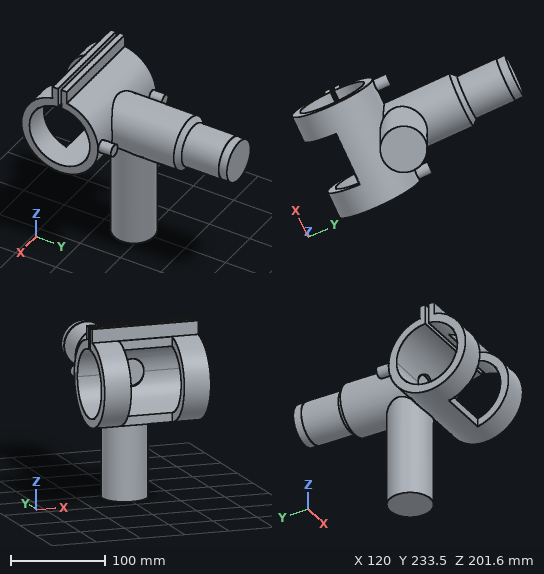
import cadquery as cq

clamp_length = 120.0
clamp_diameter = 95.0
clamp_bore = 75.0

slit_width = 4.0
ear_thickness = 7.0
ear_top = 61.6
ear_face = slit_width / 2 + ear_thickness

window_width = clamp_length / 2
window_back = -9.5

arm_diameter = 62.0
arm_shoulder = 124.0
spigot_diameter = 50.0
taper_length = 6.0
overall_depth = 233.5
arm_tip = overall_depth - clamp_diameter / 2

leg_diameter = spigot_diameter
leg_offset = 56.0
leg_bottom = -140.0

peg_diameter = 14.0
peg_offset = 52.3
peg_tip = 63.0

rod_diameter = 30.1
rod_start = clamp_bore / 2
cap_diameter = 49.0
cap_thickness = 10.0
spigot_end = arm_tip - cap_thickness


def cylinder_along_y(diameter, start, end, x=0):
    """Solid cylinder parallel to Y, between two Y positions."""
    axis = cq.Vector(0, 1, 0)
    solid = cq.Solid.makeCylinder(diameter / 2, end - start, cq.Vector(x, start, 0), axis)
    return cq.Workplane(obj=solid)


def cylinder_along_clamp(diameter):
    """Solid cylinder on the clamp axis, as long as the clamp."""
    end_plane = cq.Workplane("YZ", origin=(-clamp_length / 2, 0, 0))
    return end_plane.circle(diameter / 2).extrude(clamp_length)


def make_arm():
    """Round arm that tapers down to a narrower spigot."""
    taper_end = arm_shoulder + taper_length
    profile = [
        (0, 0),
        (arm_diameter / 2, 0),
        (arm_diameter / 2, arm_shoulder),
        (spigot_diameter / 2, taper_end),
        (spigot_diameter / 2, spigot_end),
        (0, spigot_end),
    ]
    return cq.Workplane("XY").polyline(profile).close().revolve(360, (0, 0, 0), (0, 1, 0))


def make_leg():
    """Round leg hanging from the arm axis."""
    return (
        cq.Workplane("XY", origin=(0, leg_offset, leg_bottom))
        .circle(leg_diameter / 2)
        .extrude(-leg_bottom)
    )


def make_ears():
    """Block on top of the clamp, later split into two ears by the slit."""
    return cq.Workplane("XY").box(
        clamp_length, 2 * ear_face, ear_top, centered=(True, True, False)
    )


def make_slit():
    """Cutter that opens the clamp between the ears."""
    return cq.Workplane("XY").box(
        clamp_length, slit_width, ear_top, centered=(True, True, False)
    )


def make_window():
    """Cutter for the front window, reaching past the front of the clamp."""
    return (
        cq.Workplane("XY")
        .box(window_width, clamp_diameter, clamp_diameter)
        .translate((0, window_back - clamp_diameter / 2, 0))
    )


def make_housing():
    """Clamp, ears, arm, leg and pegs in one piece, bored for the rod."""
    body = cylinder_along_clamp(clamp_diameter).union(make_ears())
    body = body.union(make_arm()).union(make_leg())
    for x in (-peg_offset, peg_offset):
        body = body.union(cylinder_along_y(peg_diameter, 0, peg_tip, x))
    body = body.cut(cylinder_along_clamp(clamp_bore))
    body = body.cut(make_slit()).cut(make_window())
    return body.cut(cylinder_along_y(rod_diameter, 0, spigot_end))


def make_capped_rod():
    """Rod filling the arm bore, with a flat cap closing the spigot."""
    rod = cylinder_along_y(rod_diameter, rod_start, spigot_end)
    cap = cylinder_along_y(cap_diameter, spigot_end, arm_tip)
    return rod.union(cap)


housing = make_housing()
capped_rod = make_capped_rod()

result = cq.Compound.makeCompound([housing.solids().val(), capped_rod.solids().val()])